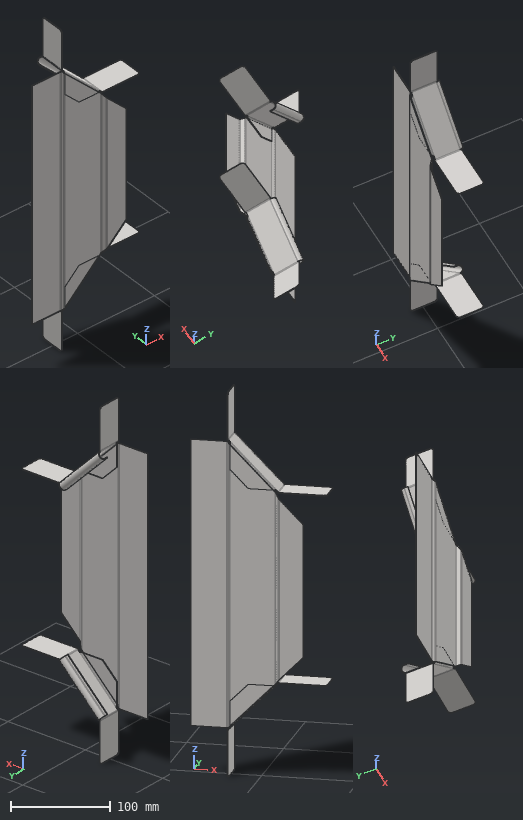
import cadquery as cq
import math


sheet = 1.0
inner_bend = 1.0
outer_bend = inner_bend + sheet
fold_angle = math.radians(45)
half_fold = math.tan(fold_angle / 2)
diagonal = math.cos(fold_angle)

half_height = 149.7
rear_step_start = 37.5
rear_step_depth = 2.5
middle_edge_start = 38.2
front_step_start = 87.7
front_step_depth = 4.0
panel_width = 117.0
half_front_edge = 69.5

corner_x = 38.2
corner_z = 151.5
web_reach = 52.0
web_top = 31.5
foot_width = 20.0
foot_inset = 3.0
lip_radius = 5.0
lip_leg = 4.0
tab_length = 50.0
tab_bottom = 2.0
tab_top = 32.5
tab_corner = 2.5
tab_inner_bend = 0.6
tab_outer_bend = tab_inner_bend + sheet

rear_step_end = rear_step_start + rear_step_depth
front_step_end = front_step_start + front_step_depth
step_shift = sheet * half_fold
web_length = web_reach / diagonal
tab_setback = (tab_inner_bend + sheet / 2) * half_fold
foot_front = sheet
foot_back = foot_front + sheet
foot_bend_end = foot_front + outer_bend


def make_folded_sheet():
    """Full-height rectangular sheet with both steps folded into it."""
    front_corners = [
        (rear_step_start, rear_step_depth),
        (rear_step_end, 0),
        (front_step_start, 0),
        (front_step_end, -front_step_depth),
    ]
    back_corners = [(x + step_shift, y + sheet) for x, y in front_corners]
    front_face = [(0, rear_step_depth), *front_corners, (panel_width, -front_step_depth)]
    back_face = [(0, rear_step_depth + sheet), *back_corners, (panel_width, sheet - front_step_depth)]
    folded = (
        cq.Workplane("XY")
        .polyline(front_face + back_face[::-1])
        .close()
        .extrude(half_height, both=True)
    )
    front_radii = [inner_bend, outer_bend] * 2
    back_radii = [outer_bend, inner_bend] * 2
    for (x, y), radius in zip(front_corners + back_corners, front_radii + back_radii):
        fold_edge = cq.selectors.NearestToPointSelector((x, y, 0))
        folded = folded.edges(fold_edge).fillet(radius)
    return folded


def make_panel():
    """Folded sheet trimmed to a trapezoid; both slanted edges run at 45 degrees beside the steps."""
    upper_edge = [
        (0, half_height),
        (middle_edge_start, half_height),
        (front_step_start, half_height - (front_step_start - middle_edge_start)),
        (front_step_end, half_front_edge + panel_width - front_step_end),
        (panel_width, half_front_edge),
    ]
    lower_edge = [(x, -z) for x, z in reversed(upper_edge)]
    outline = cq.Workplane("XZ").polyline(upper_edge + lower_edge).close().extrude(panel_width, both=True)
    return make_folded_sheet().intersect(outline).solids()


def make_web():
    """Foot, bend, web and rolled lip as one strip; local x points out of the web, local y is +Y."""
    lower_end = (corner_x + web_reach, 0, corner_z - web_reach)
    plane = cq.Plane(origin=lower_end, xDir=(1, 0, 1), normal=(-1, 0, 1))
    outer_face = sheet / 2
    inner_face = -sheet / 2
    bend_x = outer_face - outer_bend
    foot_end = outer_face - foot_width
    lip_x = outer_face - lip_radius
    lip_inner = lip_radius - sheet
    leg_end = web_top - lip_leg
    section = (
        cq.Workplane(plane)
        .workplane(offset=tab_setback)
        .moveTo(foot_end, foot_front)
        .lineTo(bend_x, foot_front)
        .radiusArc((outer_face, foot_bend_end), -outer_bend)
        .lineTo(outer_face, web_top)
        .threePointArc((lip_x, web_top + lip_radius), (lip_x - lip_radius, web_top))
        .lineTo(lip_x - lip_radius, leg_end)
        .lineTo(lip_x - lip_inner, leg_end)
        .lineTo(lip_x - lip_inner, web_top)
        .threePointArc((lip_x, web_top + lip_inner), (inner_face, web_top))
        .lineTo(inner_face, foot_bend_end)
        .radiusArc((bend_x, foot_back), inner_bend)
        .lineTo(foot_end, foot_back)
        .close()
    )
    return section.extrude(web_length - 2 * tab_setback)


def trim_foot(web):
    """Cut the foot and its bend along X and Z, clear of the panel's rear step and the side tab."""
    upper_x = corner_x + foot_inset
    lower_z = corner_z - web_reach + foot_inset
    beside_step = cq.Workplane("XY").box(upper_x, foot_bend_end, corner_z + tab_length, centered=False)
    below_side_tab = cq.Workplane("XY").box(panel_width, foot_bend_end, lower_z, centered=False)
    return web.cut(beside_step).cut(below_side_tab)


def make_upright_tab():
    """Tab along Z with the 45 degree bend that joins it to the upper end of the web."""
    outer_x = corner_x + sheet / 2
    inner_x = corner_x - sheet / 2
    tab_end = corner_z + tab_length
    bend_x = outer_x + tab_inner_bend
    bend_z = corner_z + tab_setback
    tab = (
        cq.Workplane("XZ", origin=(0, tab_bottom, 0))
        .moveTo(inner_x, tab_end)
        .lineTo(inner_x, bend_z)
        .radiusArc((bend_x - tab_outer_bend * diagonal, bend_z - tab_outer_bend * diagonal), -tab_outer_bend)
        .lineTo(bend_x - tab_inner_bend * diagonal, bend_z - tab_inner_bend * diagonal)
        .radiusArc((outer_x, bend_z), tab_inner_bend)
        .lineTo(outer_x, tab_end)
        .close()
        .extrude(tab_bottom - tab_top)
    )
    return tab.edges(">Z and |X").chamfer(tab_corner)


def make_bracket():
    upright_tab = make_upright_tab()
    web_middle = (corner_x + web_reach / 2, 0, corner_z - web_reach / 2)
    side_tab = upright_tab.mirror((1, 0, -1), web_middle)
    return trim_foot(make_web()).union(upright_tab).union(side_tab).solids()


panel = make_panel()
upper_bracket = make_bracket()
brackets = [upper_bracket, upper_bracket.mirror("XY")]
result = cq.Compound.makeCompound([panel.val(), *[bracket.val() for bracket in brackets]])